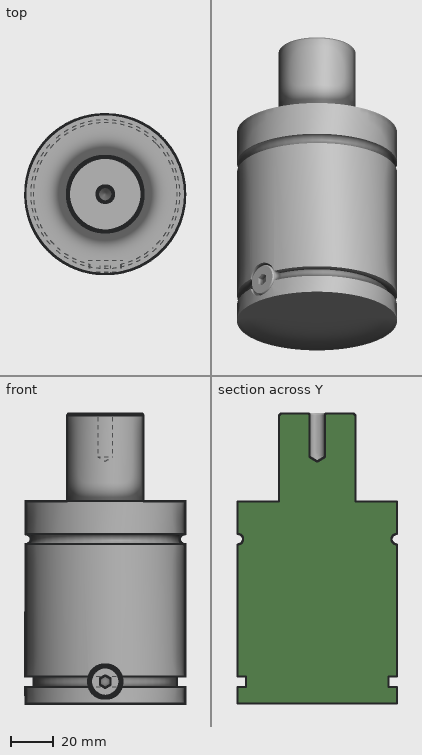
import cadquery as cq
import math

total_height = 136.0
body_radius = 75.0 / 2
body_height = 94.9
rod_radius = 18.0
rod_chamfer = 1.0

round_groove_height = 77.1
round_groove_radius = 2.3
round_groove_depth = 2.6

square_groove_bottom = 8.0
square_groove_top = 12.8
square_groove_floor_radius = 33.6

hole_radius = 3.4
hole_chamfer = 0.7
hole_depth = 20.4
drill_tip_half_angle = math.radians(59)

plug_height = 10.5
pocket_radius = 8.0
pocket_floor = 31.0
plug_radius = 7.2
plug_face = 36.9
plug_chamfer = 0.5
hex_across_flats = 5.0
hex_depth = 3.3


def revolve_body():
    """Cylinder with its two grooves and the chamfered rod, turned about Z."""
    groove_top = round_groove_height + round_groove_radius
    groove_bottom = round_groove_height - round_groove_radius
    groove_center = body_radius - round_groove_depth + round_groove_radius
    return (
        cq.Workplane("XZ")
        .lineTo(body_radius, 0)
        .lineTo(body_radius, square_groove_bottom)
        .lineTo(square_groove_floor_radius, square_groove_bottom)
        .lineTo(square_groove_floor_radius, square_groove_top)
        .lineTo(body_radius, square_groove_top)
        .lineTo(body_radius, groove_bottom)
        .lineTo(groove_center, groove_bottom)
        .threePointArc(
            (body_radius - round_groove_depth, round_groove_height),
            (groove_center, groove_top),
        )
        .lineTo(body_radius, groove_top)
        .lineTo(body_radius, body_height)
        .lineTo(rod_radius, body_height)
        .lineTo(rod_radius, total_height - rod_chamfer)
        .lineTo(rod_radius - rod_chamfer, total_height)
        .lineTo(0, total_height)
        .close()
        .revolve(360, (0, 0), (0, 1))
    )


def rod_hole():
    """Countersunk blind hole with a conical drill tip."""
    straight_end = total_height - hole_depth
    tip = straight_end - hole_radius / math.tan(drill_tip_half_angle)
    return (
        cq.Workplane("XZ")
        .moveTo(0, total_height)
        .lineTo(hole_radius + hole_chamfer, total_height)
        .lineTo(hole_radius, total_height - hole_chamfer)
        .lineTo(hole_radius, straight_end)
        .lineTo(0, tip)
        .close()
        .revolve(360, (0, 0), (0, 1))
    )


def side_plane(distance):
    """Plane facing -Y at the given distance from the axis, centred on the plug."""
    return cq.Workplane("XZ", origin=(0, -distance, plug_height))


def plug():
    """Chamfered round plug standing on the pocket floor."""
    disc = side_plane(pocket_floor).circle(plug_radius).extrude(plug_face - pocket_floor)
    return disc.faces("<Y").chamfer(plug_chamfer)


pocket = side_plane(pocket_floor).circle(pocket_radius).extrude(body_radius)
hex_diameter = hex_across_flats / math.cos(math.pi / 6)
socket = (
    side_plane(plug_face)
    .transformed(rotate=(0, 0, 30))
    .polygon(6, hex_diameter)
    .extrude(-hex_depth)
)

result = revolve_body().cut(rod_hole()).cut(pocket).union(plug()).cut(socket)